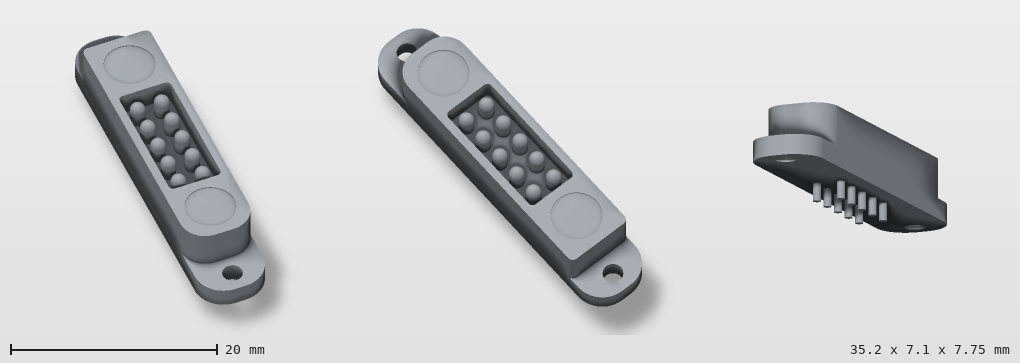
import cadquery as cq

base_length = 35.2
body_width = 7.1
base_thickness = 2.0
base_corner_radius = 3.0
mount_hole_diameter = 2.0
mount_hole_spacing = 31.1

body_height = 6.0
housing_length = 27.25
small_corner_radius = 0.6
large_corner_radius = 2.57

magnet_diameter = 5.05
magnet_spacing = 20.1
magnet_recess = 0.1

pocket_length = 13.1
pocket_width = 5.42
pocket_depth = 2.5
pocket_corner_radius = 0.5

contact_columns = 5
contact_rows = 2
contact_pitch = 2.55
contact_diameter = 1.5
contact_recess = 0.1
tail_diameter = 0.8
tail_length = 1.75


def make_base():
    """Plate with rounded ends."""
    return (
        cq.Workplane("XY")
        .rect(base_length, body_width)
        .extrude(base_thickness)
        .edges("|Z")
        .fillet(base_corner_radius)
    )


def make_housing():
    """Raised block with different corner radii at its two ends."""
    return (
        cq.Workplane("XY")
        .rect(housing_length, body_width)
        .extrude(body_height)
        .edges("|Z and <X")
        .fillet(small_corner_radius)
        .edges("|Z and >X")
        .fillet(large_corner_radius)
    )


def make_mount_holes():
    """Cutters for the through holes in the two flanges."""
    return (
        cq.Workplane("XY")
        .rarray(mount_hole_spacing, 0.35, 2, 1)
        .circle(mount_hole_diameter / 2)
        .extrude(base_thickness)
    )


def make_magnet_seats():
    """Cutters for the two magnet seats."""
    return (
        cq.Workplane("XY", origin=(0, 0, body_height))
        .rarray(magnet_spacing, 0.35, 2, 1)
        .circle(magnet_diameter / 2)
        .extrude(-magnet_recess)
    )


def make_pocket():
    """Cutter for the contact pocket."""
    return (
        cq.Workplane("XY", origin=(0, 0, body_height))
        .rect(pocket_length, pocket_width)
        .extrude(-pocket_depth)
        .edges("|Z")
        .fillet(pocket_corner_radius)
    )


def make_contact():
    """Domed post on the pocket floor, just short of the housing top, and its tail."""
    head_radius = contact_diameter / 2
    floor_level = body_height - pocket_depth
    dome_center = body_height - contact_recess - head_radius
    post = (
        cq.Workplane("XY", origin=(0, 0, floor_level))
        .circle(head_radius)
        .extrude(dome_center - floor_level)
    )
    dome = cq.Workplane("XY", origin=(0, 0, dome_center)).sphere(head_radius)
    tail = (
        cq.Workplane("XY", origin=(0, 0, -tail_length))
        .circle(tail_diameter / 2)
        .extrude(tail_length + floor_level)
    )
    return post.union(dome).union(tail)


result = make_base().union(make_housing())
result = result.cut(make_mount_holes()).cut(make_magnet_seats()).cut(make_pocket())

contact = make_contact()
for column in range(contact_columns):
    for row in range(contact_rows):
        x = (column - (contact_columns - 1) / 2) * contact_pitch
        y = (row - (contact_rows - 1) / 2) * contact_pitch
        result = result.union(contact.translate((x, y, 0)))